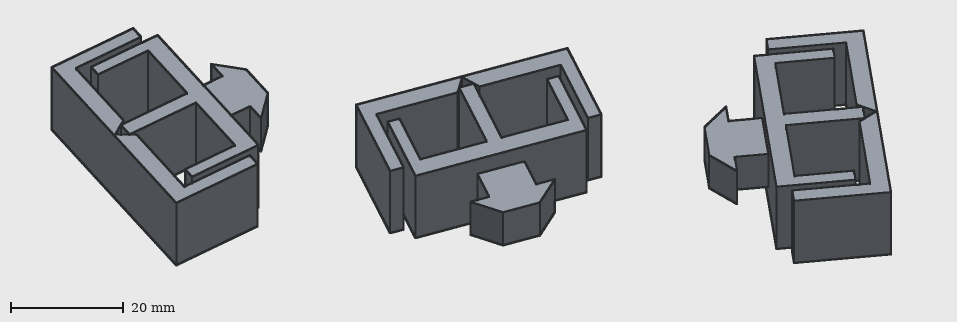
import cadquery as cq

height = 16.0

channel_width = 40.0
channel_depth = 17.35
channel_wall = 2.55
channel_floor = 3.45
notch_width = 4.15
notch_root = 0.25

rocker_width = 32.4
plate_front = 16.5
plate_back = 20.05
arm_thickness = 2.25
arm_tip = 5.9
blade_width = 2.8
clip_height = 8.5
stem_width = 8.9
head_width = 16.0
head_tip_width = 6.95
head_front = 26.05
head_back = 30.5

blade_tip = notch_root + (channel_floor - notch_root) * blade_width / notch_width


def block(width, front, back, center_x=0.0):
    """Full-height block between two Y positions."""
    return (
        cq.Workplane("XY")
        .center(center_x, (front + back) / 2)
        .rect(width, back - front)
        .extrude(height)
    )


def make_channel():
    opening = block(channel_width - 2 * channel_wall, channel_floor, channel_depth)
    notch = (
        cq.Workplane("XY")
        .moveTo(0, notch_root)
        .lineTo(notch_width / 2, channel_floor)
        .lineTo(-notch_width / 2, channel_floor)
        .close()
        .extrude(height)
    )
    return block(channel_width, 0, channel_depth).cut(opening).cut(notch)


def make_clip():
    """Arrow-shaped clip, centred in the height of the plate."""
    right_side = [
        (stem_width / 2, plate_back),
        (stem_width / 2, head_front),
        (head_width / 2, head_front),
        (head_tip_width / 2, head_back),
    ]
    left_side = [(-x, y) for x, y in reversed(right_side)]
    return (
        cq.Workplane("XY")
        .workplane(offset=(height - clip_height) / 2)
        .polyline(right_side + left_side)
        .close()
        .extrude(clip_height)
    )


def make_rocker():
    body = block(rocker_width, plate_front, plate_back)
    arm_x = (rocker_width - arm_thickness) / 2
    for side in (-1, 1):
        body = body.union(block(arm_thickness, arm_tip, plate_front, side * arm_x))
    body = body.union(block(blade_width, blade_tip, plate_front))
    return body.union(make_clip())


channel = make_channel().solids()
rocker = make_rocker().solids()

result = cq.Compound.makeCompound([channel.val(), rocker.val()])